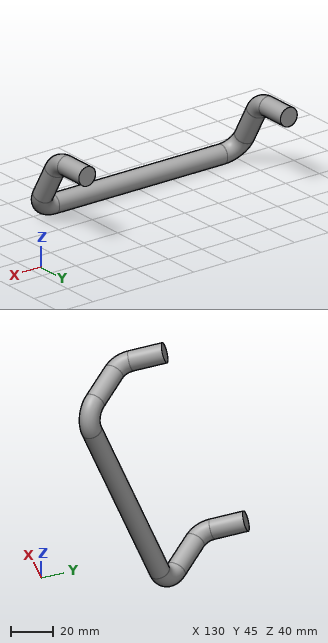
import cadquery as cq
import math

length = 130.0
depth = 45.0
height = 40.0
rod_diameter = 10.0
bend_radius = 10.0
leg_angle = 60.0

rod_radius = rod_diameter / 2
leg_x = length / 2 - rod_radius
grip_y = rod_radius - depth
grip_z = rod_diameter - height
knee_y = grip_y - grip_z / math.tan(math.radians(leg_angle))

corners = [
    cq.Vector(-leg_x, 0, 0),
    cq.Vector(-leg_x, knee_y, 0),
    cq.Vector(-leg_x, grip_y, grip_z),
    cq.Vector(leg_x, grip_y, grip_z),
    cq.Vector(leg_x, knee_y, 0),
    cq.Vector(leg_x, 0, 0),
]


def bend_points(before, corner, after, radius):
    """Return the start, middle and end of the arc that rounds a corner."""
    to_before = (before - corner).normalized()
    to_after = (after - corner).normalized()
    half_angle = to_before.getAngle(to_after) / 2
    setback = radius / math.tan(half_angle)
    middle_distance = radius / math.sin(half_angle) - radius
    bisector = (to_before + to_after).normalized()
    return (
        corner + to_before * setback,
        corner + bisector * middle_distance,
        corner + to_after * setback,
    )


def rounded_path(points, radius):
    """Join the points with straight runs and tangent bends."""
    edges = []
    run_start = points[0]
    for before, corner, after in zip(points, points[1:], points[2:]):
        start, middle, end = bend_points(before, corner, after, radius)
        edges.append(cq.Edge.makeLine(run_start, start))
        edges.append(cq.Edge.makeThreePointArc(start, middle, end))
        run_start = end
    edges.append(cq.Edge.makeLine(run_start, points[-1]))
    return cq.Wire.assembleEdges(edges)


centreline = rounded_path(corners, bend_radius)
end_plane = cq.Plane(origin=corners[0], xDir=(1, 0, 0), normal=(0, -1, 0))
result = cq.Workplane(end_plane).circle(rod_radius).sweep(cq.Workplane(centreline))